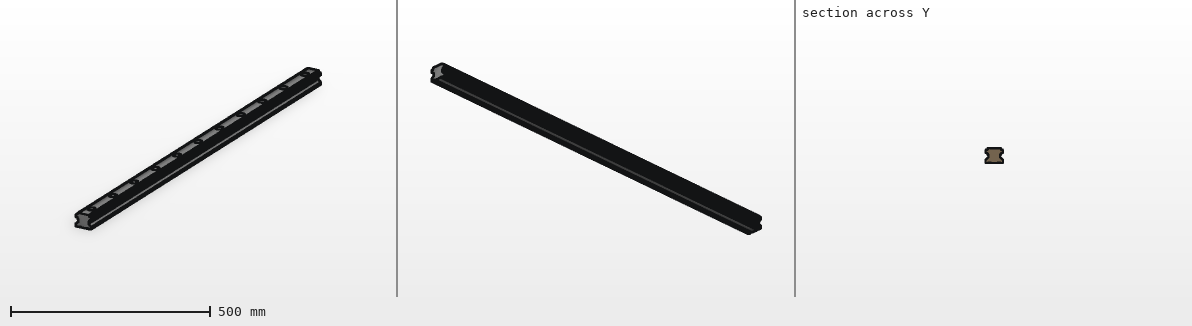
import cadquery as cq
import math

width = 45.0
length = 1130.0
height = 38.0
half_width = width / 2

base_chamfer = 1.5
base_side_top = 7.0
waist_half_width = 15.0
head_side_bottom = 27.0
head_side_top = 31.0
slope_run = half_width - waist_half_width
waist_bottom = base_side_top + slope_run
waist_top = head_side_bottom - slope_run
top_half_width = half_width - (height - head_side_top)
slope_cosine = math.sqrt(0.5)

ball_groove_width = 5.0
ball_groove_depth = 1.35
ball_groove_x = 18.5

relief_width = 4.4
relief_depth = 1.0
relief_x = 12.0

hole_count = 11
hole_pitch = 105.0
hole_diameter = 20.0
cap_recess = 0.5


def extrude_along_rail(outline):
    """Extrude a cross-section outline over the whole rail, centred on the origin."""
    return outline.extrude(length / 2, both=True)


def ball_groove(outline, face_z, upward, outer_end_first):
    """Add one ball groove arc on a 45 degree head face that meets the head side at face_z."""
    half_span = ball_groove_width / 2 * slope_cosine
    inset = ball_groove_depth * slope_cosine

    def point_on_face(x):
        return (x, face_z + upward * (half_width - x))

    ends = [point_on_face(ball_groove_x + half_span), point_on_face(ball_groove_x - half_span)]
    if not outer_end_first:
        ends.reverse()
    middle_x, middle_z = point_on_face(ball_groove_x)
    deepest = (middle_x - inset, middle_z - upward * inset)
    return outline.lineTo(*ends[0]).threePointArc(deepest, ends[1])


def rail_body():
    """Rail bar: half the cross-section is drawn on the +X side, then mirrored."""
    outline = (
        cq.Workplane("XZ")
        .lineTo(half_width - base_chamfer, 0)
        .lineTo(half_width, base_chamfer)
        .lineTo(half_width, base_side_top)
        .lineTo(waist_half_width, waist_bottom)
        .lineTo(waist_half_width, waist_top)
    )
    outline = ball_groove(outline, head_side_bottom, upward=-1, outer_end_first=False)
    outline = outline.lineTo(half_width, head_side_bottom).lineTo(half_width, head_side_top)
    outline = ball_groove(outline, head_side_top, upward=1, outer_end_first=True)
    outline = outline.lineTo(top_half_width, height).lineTo(0, height).close()
    half_rail = extrude_along_rail(outline)
    return half_rail.union(half_rail.mirror("YZ")).clean()


def relief_grooves():
    """Two shallow rectangular grooves running the full length of the underside."""
    outline = (
        cq.Workplane("XZ")
        .pushPoints([(-relief_x, relief_depth / 2), (relief_x, relief_depth / 2)])
        .rect(relief_width, relief_depth)
    )
    return extrude_along_rail(outline)


def cap_recesses():
    """Shallow round recesses in the top face, one over each mounting hole cap."""
    return (
        cq.Workplane("XY", origin=(0, 0, height - cap_recess))
        .rarray(1, hole_pitch, 1, hole_count)
        .circle(hole_diameter / 2)
        .extrude(cap_recess)
    )


result = rail_body().cut(relief_grooves()).cut(cap_recesses())